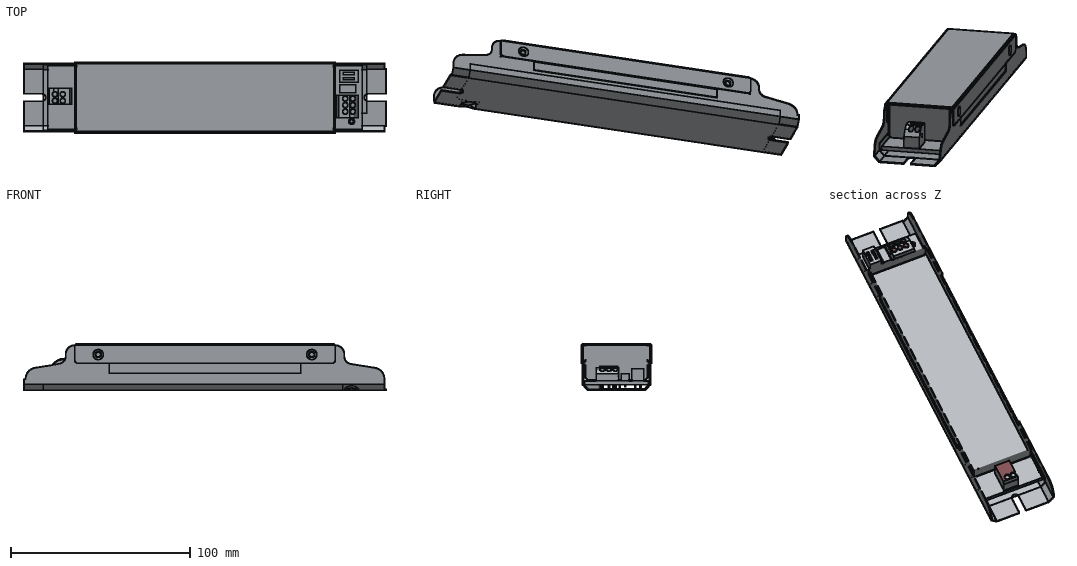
import cadquery as cq
import math

LENGTH = 202.0
WIDTH = 39.5
HEIGHT = 26.0
SHEET = 0.6

TRAY_HALF_WIDTH = WIDTH / 2 - SHEET
CORNER_WIDTH = 3.2
CORNER_HEIGHT = 3.5
END_LIP = 0.8
WALL_TOP = 25.2
SHOULDER_X = 72.7
SHOULDER_RADIUS = 5.0
NECK_BOTTOM = 19.0
NECK_RADIUS = 4.2
RAMP_ANGLE = math.radians(9)
NOSE_RADIUS = 6.5
SLOT_WIDTH = 4.0
SLOT_DEPTH = 12.1
WINDOW_LENGTH = 106.7
WINDOW_BOTTOM = 9.7

LID_LENGTH = 145.5
LID_SIDE_BOTTOM = 15.2
LID_BEND = 1.0
LID_CORNER_RADIUS = 1.8
LID_END_BOTTOM = 5.9
LID_END_HALF_WIDTH = 17.2
LID_END_TAB = 1.5
LID_END_CHAMFER = 1.0
FLAP_OUTER_Y = 17.8
FLAP_BOTTOM = 7.0
DIMPLE_X = 59.5
DIMPLE_Z = 20.0
DIMPLE_DIAMETER = 5.7
DIMPLE_FLOOR_DIAMETER = 3.2
DIMPLE_PIT_DIAMETER = 2.8
DIMPLE_DEPTH = 0.8
DIMPLE_PIT_DEPTH = 0.5

LINER = 0.2
LINER_HALF_LENGTH = 90.3
LINER_TOP = 7.7
LINER_NOTCH_Y = -8.9
BOARD_HALF_LENGTH = 87.7
BOARD_HALF_WIDTH = 17.8
BOARD_BOTTOM = 3.0
BOARD_TOP = 5.3

EARTH_X = 81.8
EARTH_Y = -13.3
EARTH_SEAT_BASE_DIAMETER = 9.7
EARTH_SEAT_TOP_DIAMETER = 8.5
EARTH_HOLE_DIAMETER = 3.2
EARTH_PIN_DIAMETER = 2.0

POLE_PITCH = 3.6
POLE_SHIFT = -0.8
LEAD_DIAMETER = 0.7
LEAD_BOTTOM = SHEET + LINER
SHORT_LEAD_BOTTOM = 2.0
BUTTON_DIAMETER = 2.8
BUTTON_RISE = 0.8
ENTRY_DIAMETER = 2.8
ENTRY_DEPTH = 3.0
LATCH_WIDTH = 0.5
LATCH_HEIGHT = 1.8
LATCH_DEPTH = 0.5

SUPPLY_X = -86.9
SUPPLY_Y = 0.8
SUPPLY_LENGTH = 12.5
SUPPLY_WIDTH = 8.9
SUPPLY_HEIGHT = 11.7
OUTPUT_X = 85.5
OUTPUT_Y = -5.0
OUTPUT_LENGTH = 12.0
OUTPUT_WIDTH = 12.5
OUTPUT_HEIGHT = 7.3

CONNECTOR_X = 75.1
SOCKET_LENGTH = 10.3
SOCKET_WIDTH = 6.7
SOCKET_HEIGHT = 6.9
SOCKET_Y = 12.0
SOCKET_PITCH = 3.0
SOCKET_SLOT_LENGTH = 6.0
SOCKET_SLOT_WIDTH = 1.2
SOCKET_SLOT_DEPTH = 2.0
COMPONENT_LENGTH = 9.0
COMPONENT_WIDTH = 4.5
COMPONENT_HEIGHT = 4.0
COMPONENT_Y = 4.8


def box(x0, x1, y0, y1, z0, z1):
    return cq.Workplane("XY").box(x1 - x0, y1 - y0, z1 - z0, centered=False).translate((x0, y0, z0))


def channel_section(inset, top, x0, x1):
    """Solid bar with slanted lower corners, lying inset from the tray's outside."""
    lean = math.atan2(CORNER_HEIGHT, CORNER_WIDTH)
    half = TRAY_HALF_WIDTH - inset
    foot = TRAY_HALF_WIDTH - CORNER_WIDTH - inset * math.tan(lean / 2)
    knee = CORNER_HEIGHT + inset * math.tan((math.pi / 2 - lean) / 2)
    points = [(half, top), (half, knee), (foot, inset), (-foot, inset), (-half, knee), (-half, top)]
    return cq.Workplane("YZ").workplane(offset=x0).polyline(points).close().extrude(x1 - x0)


def channel(inset, thickness, top, x0, x1):
    """Open channel with slanted lower corners."""
    return channel_section(inset, top, x0, x1).cut(channel_section(inset + thickness, top, x0, x1))


def wall_outline():
    """Side outline of the tray: shoulder, neck, ramp and rounded nose at both ends."""
    wall_end = LENGTH / 2 - END_LIP
    neck_x = SHOULDER_X + SHOULDER_RADIUS
    nose_x = wall_end - NOSE_RADIUS
    fall_x = math.sin(RAMP_ANGLE)
    fall_z = math.cos(RAMP_ANGLE)
    diagonal = math.sqrt(0.5)

    neck_center = (neck_x + NECK_RADIUS, NECK_BOTTOM)
    ramp_start = (neck_center[0] - NECK_RADIUS * fall_x, NECK_BOTTOM - NECK_RADIUS * fall_z)
    nose_start_x = nose_x + NOSE_RADIUS * fall_x
    nose_start_z = ramp_start[1] - (nose_start_x - ramp_start[0]) * math.tan(RAMP_ANGLE)
    nose_z = nose_start_z - NOSE_RADIUS * fall_z

    shoulder_mid = (SHOULDER_X + SHOULDER_RADIUS * diagonal, WALL_TOP - SHOULDER_RADIUS * (1 - diagonal))
    neck_mid = (neck_center[0] - NECK_RADIUS * diagonal, NECK_BOTTOM - NECK_RADIUS * diagonal)
    nose_mid = (nose_x + NOSE_RADIUS * diagonal, nose_z + NOSE_RADIUS * diagonal)
    half = (
        cq.Workplane("XZ")
        .moveTo(0, 0)
        .lineTo(0, WALL_TOP)
        .lineTo(SHOULDER_X, WALL_TOP)
        .threePointArc(shoulder_mid, (neck_x, WALL_TOP - SHOULDER_RADIUS))
        .lineTo(neck_x, NECK_BOTTOM)
        .threePointArc(neck_mid, ramp_start)
        .lineTo(nose_start_x, nose_start_z)
        .threePointArc(nose_mid, (wall_end, nose_z))
        .lineTo(wall_end, 0)
        .close()
        .extrude(WIDTH / 2, both=True)
    )
    left = half.mirror("YZ").union(box(-LENGTH / 2, -wall_end, -WIDTH / 2, WIDTH / 2, 0, nose_z))
    return half.union(left)


def make_tray():
    end = LENGTH / 2
    tray = channel(0, SHEET, WALL_TOP, -end, end).intersect(wall_outline())
    floor_half = TRAY_HALF_WIDTH - CORNER_WIDTH
    tray = tray.union(box(end - 2 * END_LIP, end, -floor_half, floor_half, 0, SHEET))

    for side in (-1, 1):
        slot = cq.Workplane("XY").center(side * end, 0).slot2D(2 * SLOT_DEPTH, SLOT_WIDTH).extrude(SHEET)
        tray = tray.cut(slot)

    window = box(-WINDOW_LENGTH / 2, WINDOW_LENGTH / 2, -WIDTH / 2, WIDTH / 2, WINDOW_BOTTOM, LID_SIDE_BOTTOM)
    return tray.cut(window)


def make_lid():
    half_length = LID_LENGTH / 2
    half_width = WIDTH / 2
    blank = box(-half_length, half_length, -half_width, half_width, LID_END_BOTTOM, HEIGHT)
    blank = blank.faces(">Z").edges().chamfer(LID_BEND)
    cavity = box(
        -half_length + SHEET, half_length - SHEET, -half_width + SHEET, half_width - SHEET,
        LID_END_BOTTOM, HEIGHT - SHEET,
    )
    shell = blank.cut(cavity)

    sides = (
        cq.Workplane("XZ")
        .rect(LID_LENGTH, 2 * (HEIGHT - LID_SIDE_BOTTOM))
        .extrude(half_width, both=True)
        .edges("|Y")
        .fillet(LID_CORNER_RADIUS)
        .translate((0, 0, HEIGHT))
    )
    cover = shell.intersect(sides)

    inner = LID_END_HALF_WIDTH
    quarter = [
        (inner, HEIGHT),
        (inner, LID_SIDE_BOTTOM + LID_END_TAB),
        (inner + LID_END_TAB, LID_SIDE_BOTTOM),
        (inner, LID_SIDE_BOTTOM - LID_END_TAB),
        (inner, LID_END_BOTTOM + LID_END_CHAMFER),
        (inner - LID_END_CHAMFER, LID_END_BOTTOM),
    ]
    outline = quarter + [(-y, z) for y, z in reversed(quarter)]
    ends = cq.Workplane("YZ").polyline(outline).close().extrude(half_length, both=True)
    cover = cover.union(shell.intersect(ends))

    flap_half = half_length - SHEET
    flaps = box(-flap_half, flap_half, -FLAP_OUTER_Y, FLAP_OUTER_Y, FLAP_BOTTOM, HEIGHT - SHEET)
    flap_inner = FLAP_OUTER_Y - SHEET
    return cover.union(flaps.cut(box(-flap_half, flap_half, -flap_inner, flap_inner, 0, HEIGHT)))


def revolve_about_z(points):
    return cq.Workplane("XZ").polyline(points).close().revolve(360, (0, 0), (0, 1))


def press_dimples(body):
    """Countersunk dimples that pin the lid sides to the tray walls."""
    rim = DIMPLE_DIAMETER / 2
    floor = DIMPLE_FLOOR_DIAMETER / 2
    pit = DIMPLE_PIT_DIAMETER / 2
    pit_bottom = -DIMPLE_DEPTH - DIMPLE_PIT_DEPTH
    recess = revolve_about_z(
        [(0, 0), (rim, 0), (floor, -DIMPLE_DEPTH), (pit, -DIMPLE_DEPTH), (pit, pit_bottom), (0, pit_bottom)]
    )
    backing = cq.Workplane("XY").circle(rim).extrude(pit_bottom - SHEET)
    for side in (-1, 1):
        for x in (-DIMPLE_X, DIMPLE_X):
            place = (x, side * WIDTH / 2, DIMPLE_Z)
            turn = -side * 90
            body = body.union(backing.rotate((0, 0, 0), (1, 0, 0), turn).translate(place))
            body = body.cut(recess.rotate((0, 0, 0), (1, 0, 0), turn).translate(place))
    return body


def make_liner():
    liner = channel(SHEET, LINER, LINER_TOP, -LINER_HALF_LENGTH, LINER_HALF_LENGTH)
    notch_start = EARTH_X - EARTH_SEAT_BASE_DIAMETER / 2
    return liner.cut(box(notch_start, LENGTH / 2, -WIDTH / 2, LINER_NOTCH_Y, 0, LINER_TOP))


def make_board():
    board = box(
        -BOARD_HALF_LENGTH, BOARD_HALF_LENGTH, -BOARD_HALF_WIDTH, BOARD_HALF_WIDTH, BOARD_BOTTOM, BOARD_TOP
    )
    hole = cq.Workplane("XY").center(EARTH_X, EARTH_Y).circle(EARTH_HOLE_DIAMETER / 2).extrude(HEIGHT)
    return board.cut(hole)


def press_earth_seat(body):
    """Conical seat pressed up from the tray floor to the underside of the board."""
    base = EARTH_SEAT_BASE_DIAMETER / 2
    top = EARTH_SEAT_TOP_DIAMETER / 2
    place = (EARTH_X, EARTH_Y, 0)
    seat = revolve_about_z([(0, 0), (base, 0), (top, BOARD_BOTTOM), (0, BOARD_BOTTOM)])
    hollow = revolve_about_z(
        [(0, 0), (base - SHEET, 0), (top - SHEET, BOARD_BOTTOM - SHEET), (0, BOARD_BOTTOM - SHEET)]
    )
    envelope = channel_section(0, HEIGHT, -LENGTH / 2, LENGTH / 2)
    body = body.union(seat.translate(place).intersect(envelope)).cut(hollow.translate(place))
    pin = cq.Workplane("XY").circle(EARTH_PIN_DIAMETER / 2).extrude(BOARD_TOP - BOARD_BOTTOM)
    return body.union(pin.translate((EARTH_X, EARTH_Y, BOARD_BOTTOM)))


def lead(x, y, bottom=LEAD_BOTTOM):
    pin = cq.Workplane("XY").circle(LEAD_DIAMETER / 2).extrude(BOARD_TOP - bottom)
    return pin.translate((x, y, bottom))


def pole_positions(poles):
    return [POLE_SHIFT + (pole - (poles - 1) / 2) * POLE_PITCH for pole in range(poles)]


def terminal(length, width, height, poles):
    """Push-in terminal on the board: it enters from -X at X = 0 and is centred on Y = 0."""
    chin = 0.55 * height
    brow = 0.85 * height
    back = 0.85 * height
    brow_x = 0.2 * length
    crown_start_x = 0.4 * length
    crown_end_x = 0.9 * length
    entry_x = 0.25 * length
    button_x = 0.6 * length
    profile = [
        (0, 0), (0, chin), (brow_x, brow), (crown_start_x, height),
        (crown_end_x, height), (length, back), (length, 0),
    ]
    block = cq.Workplane("XZ").polyline(profile).close().extrude(width / 2, both=True)
    for y in pole_positions(poles):
        button = cq.Workplane("XY").circle(BUTTON_DIAMETER / 2).extrude(BUTTON_RISE)
        block = block.union(button.translate((button_x, y, height)))
        entry = cq.Workplane("XY").circle(ENTRY_DIAMETER / 2).extrude(height)
        block = block.cut(entry.translate((entry_x, y, brow - ENTRY_DEPTH)))

    latch = cq.Workplane("XY").box(LATCH_WIDTH, 2 * LATCH_DEPTH, LATCH_HEIGHT)
    block = block.cut(latch.translate((length / 2, -width / 2, height / 2)))
    block = block.translate((0, 0, BOARD_TOP))
    for y in pole_positions(poles):
        block = block.union(lead(length / 2, y))
    return block


def make_socket():
    half_width = SOCKET_WIDTH / 2
    top = BOARD_TOP + SOCKET_HEIGHT
    end = CONNECTOR_X + SOCKET_LENGTH
    socket = box(CONNECTOR_X, end, SOCKET_Y - half_width, SOCKET_Y + half_width, BOARD_TOP, top)
    middle = CONNECTOR_X + SOCKET_LENGTH / 2
    for y in (SOCKET_Y - SOCKET_PITCH / 2, SOCKET_Y + SOCKET_PITCH / 2):
        slot = cq.Workplane("XY").rect(SOCKET_SLOT_LENGTH, SOCKET_SLOT_WIDTH).extrude(SOCKET_SLOT_DEPTH)
        socket = socket.cut(slot.translate((middle, y, top - SOCKET_SLOT_DEPTH)))
        socket = socket.union(lead(middle, y))
    return socket


def make_component():
    half_width = COMPONENT_WIDTH / 2
    component = box(
        CONNECTOR_X, CONNECTOR_X + COMPONENT_LENGTH, COMPONENT_Y - half_width, COMPONENT_Y + half_width,
        BOARD_TOP, BOARD_TOP + COMPONENT_HEIGHT,
    )
    return component.union(lead(CONNECTOR_X + COMPONENT_LENGTH / 2, COMPONENT_Y, SHORT_LEAD_BOTTOM))


supply = terminal(SUPPLY_LENGTH, SUPPLY_WIDTH, SUPPLY_HEIGHT, 2).translate((SUPPLY_X, SUPPLY_Y, 0))
output = terminal(OUTPUT_LENGTH, OUTPUT_WIDTH, OUTPUT_HEIGHT, 3)
output = output.rotate((0, 0, 0), (0, 0, 1), 180).translate((OUTPUT_X, OUTPUT_Y, 0))

result = press_dimples(make_tray().union(make_lid()))
result = result.union(make_liner()).union(make_board())
result = press_earth_seat(result)
for fitting in (supply, output, make_socket(), make_component()):
    result = result.union(fitting)